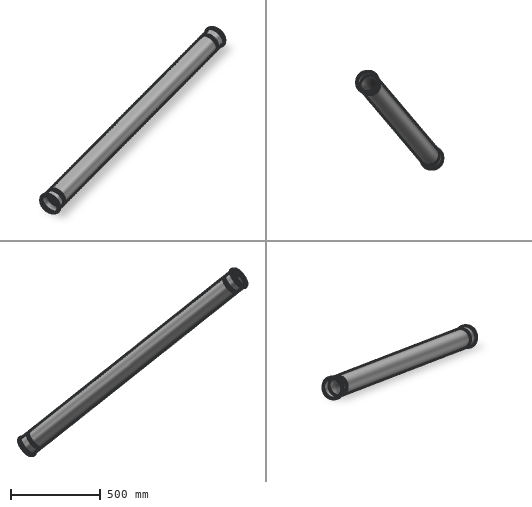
import cadquery as cq

length = 1640.0
tube_diameter = 116.0
bore_diameter = 105.0

collar_diameter = 116.0
collar_bore_diameter = 110.0
collar_bore_depth = 62.0
mouth_diameter = 116.0
mouth_bevel_depth = 7.0

flange_diameter = 128.0
flange_face_diameter = 121.0
flange_thickness = 18.0
flange_front_bevel = 7.0
flange_back_bevel = 2.0
root_radius = (flange_face_diameter - collar_diameter) / 2

groove_diameter = 112.0
groove_outer_end = 62.0
groove_inner_end = 75.0

end_face = length / 2
flange_back = end_face - flange_thickness
groove_start = end_face - groove_inner_end
groove_finish = end_face - groove_outer_end
bore_step = end_face - collar_bore_depth

tube_radius = tube_diameter / 2
bore_radius = bore_diameter / 2
collar_radius = collar_diameter / 2
collar_bore_radius = collar_bore_diameter / 2
flange_radius = flange_diameter / 2
flange_face_radius = flange_face_diameter / 2


def make_end_half():
    """Revolve the half of the tube on the +Y side about the Y axis."""
    profile = (
        cq.Workplane("XY")
        .moveTo(bore_radius, 0)
        .lineTo(tube_radius, 0)
        .lineTo(tube_radius, groove_start)
        .lineTo(groove_diameter / 2, groove_start)
        .lineTo(collar_radius, groove_finish)
        .lineTo(collar_radius, flange_back - root_radius)
        .radiusArc((flange_face_radius, flange_back), root_radius)
        .lineTo(flange_radius, flange_back + flange_back_bevel)
        .lineTo(flange_radius, end_face - flange_front_bevel)
        .lineTo(flange_face_radius, end_face)
        .lineTo(mouth_diameter / 2, end_face)
        .lineTo(collar_bore_radius, end_face - mouth_bevel_depth)
        .lineTo(collar_bore_radius, bore_step)
        .lineTo(bore_radius, bore_step)
        .close()
    )
    return profile.revolve(360, (0, 0, 0), (0, 1, 0))


end_half = make_end_half()
result = end_half.union(end_half.mirror("XZ")).clean()